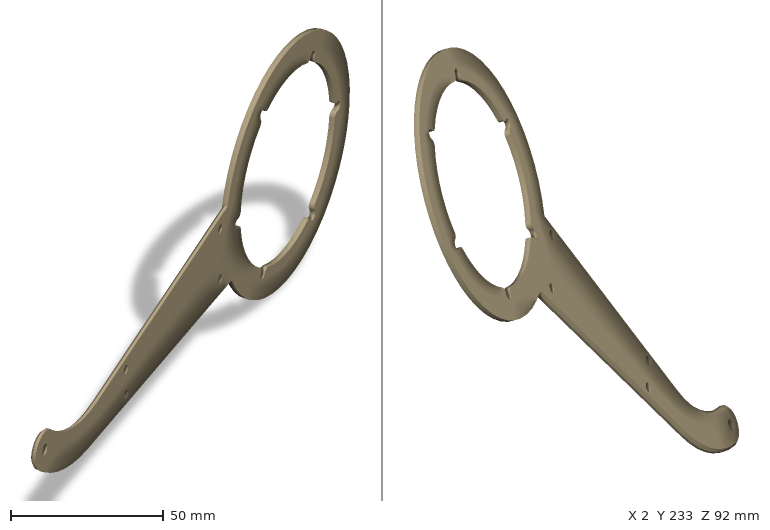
import cadquery as cq
import math

thickness = 2.0
ring_diameter = 92.0
ring_radius = ring_diameter / 2
bore_radius = 35.0
total_length = 233.0

keyway_count = 6
keyway_reach = 39.0
keyway_half_width = 1.75
keyway_mouth_fillet = 1.9

tip_radius = 7.0
tip_distance = total_length - ring_radius - tip_radius
handle_bottom = -20.0
bend_distance = 148.0
root_distance = 44.5
root_top = 11.6
edge_chamfer = thickness / 2

tip_hole_radius = 1.98
rivet_hole_radius = 1.6
rivet_holes = [(50.0, 6.0), (50.0, -14.0), (120.0, -6.0), (120.0, -16.0)]


def place(points):
    """Turn (distance along handle, height) pairs into (Y, Z) sketch points."""
    return [(-distance, height) for distance, height in points]


def polar(center, radius, angle):
    """Point on a circle at an angle in radians."""
    return (center[0] + radius * math.cos(angle), center[1] + radius * math.sin(angle))


def plate():
    """Sketch plane on the -X face of the sheet."""
    return cq.Workplane("YZ", origin=(-thickness / 2, 0, 0))


def make_handle():
    run = tip_distance - bend_distance
    outer_bend = (run**2 + handle_bottom**2 - tip_radius**2) / (2 * (-handle_bottom - tip_radius))
    inner_bend = outer_bend - 2 * tip_radius
    bend_center = (bend_distance, handle_bottom + outer_bend)
    tip_center = (tip_distance, 0)
    tip_angle = math.atan2(-bend_center[1], run)

    root_dx = root_distance - bend_center[0]
    root_dz = root_top - bend_center[1]
    root_angle = math.atan2(root_dz, root_dx) % (2 * math.pi)
    tangent_angle = root_angle + math.acos(inner_bend / math.hypot(root_dx, root_dz)) - 2 * math.pi
    inner_mid_angle = (tangent_angle + tip_angle) / 2
    outer_mid_angle = (tip_angle - math.pi / 2) / 2

    start_distance = (ring_radius + bore_radius) / 2
    tangent = polar(bend_center, inner_bend, tangent_angle)
    slope = (tangent[1] - root_top) / (tangent[0] - root_distance)
    start_top = root_top + slope * (start_distance - root_distance)

    start, top_end, inner_mid, inner_end, tip_end, outer_end, outer_mid, bottom_end, bottom_start = place([
        (start_distance, start_top),
        tangent,
        polar(bend_center, inner_bend, inner_mid_angle),
        polar(bend_center, inner_bend, tip_angle),
        polar(tip_center, tip_radius, tip_angle + math.pi / 2),
        polar(bend_center, outer_bend, tip_angle),
        polar(bend_center, outer_bend, outer_mid_angle),
        (bend_distance, handle_bottom),
        (bore_radius, handle_bottom),
    ])
    return (
        plate()
        .moveTo(*start)
        .lineTo(*top_end)
        .threePointArc(inner_mid, inner_end)
        .threePointArc(tip_end, outer_end)
        .threePointArc(outer_mid, bottom_end)
        .lineTo(*bottom_start)
        .close()
        .extrude(thickness)
        .faces("<X")
        .edges()
        .chamfer(edge_chamfer)
    )


def make_bore():
    """Bore with round-ended keyways whose mouths flare into the bore with fillets."""
    slot_end = keyway_reach - keyway_half_width
    fillet_offset = keyway_half_width + keyway_mouth_fillet
    fillet_center_distance = math.sqrt((bore_radius + keyway_mouth_fillet) ** 2 - fillet_offset**2)
    fillet_centers = [(fillet_center_distance, side * fillet_offset) for side in (-1, 1)]
    mouth_start = fillet_center_distance * bore_radius / (bore_radius + keyway_mouth_fillet)
    mouth_length = fillet_center_distance - mouth_start
    mouth_width = 2 * fillet_offset * bore_radius / (bore_radius + keyway_mouth_fillet)
    mouth = (
        plate()
        .center(mouth_start + mouth_length / 2, 0)
        .rect(mouth_length, mouth_width)
        .extrude(thickness)
        .cut(plate().pushPoints(fillet_centers).circle(keyway_mouth_fillet).extrude(thickness))
    )
    slot = plate().center(slot_end / 2, 0).rect(slot_end, 2 * keyway_half_width).extrude(thickness)
    slot_round = plate().center(slot_end, 0).circle(keyway_half_width).extrude(thickness)
    keyway = slot.union(slot_round).union(mouth)

    bore = plate().circle(bore_radius).extrude(thickness)
    for index in range(keyway_count):
        bore = bore.union(keyway.rotate((0, 0, 0), (1, 0, 0), 360 * index / keyway_count))
    return bore


def make_holes():
    rivets = plate().pushPoints(place(rivet_holes)).circle(rivet_hole_radius).extrude(thickness)
    tip_hole = plate().pushPoints(place([(tip_distance, 0)])).circle(tip_hole_radius).extrude(thickness)
    return rivets.union(tip_hole)


ring = plate().circle(ring_radius).extrude(thickness)
result = ring.union(make_handle()).cut(make_bore()).cut(make_holes())